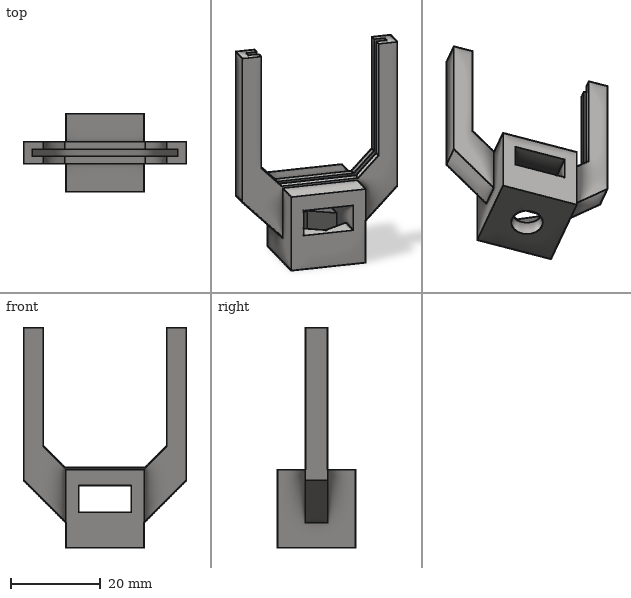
import cadquery as cq

block_side = 17.4

overall_width = 36.25
overall_height = 49.0
yoke_thickness = 5.0
arm_width = 4.4
saddle_height = 17.9
saddle_half_width = 8.9
inner_bend_height = saddle_height + overall_width / 2 - arm_width - saddle_half_width
outer_bend_height = 15.05
foot_half_width = block_side / 2
foot_height = outer_bend_height - (overall_width / 2 - foot_half_width)

groove_width = 1.55
arm_groove_depth = 2.5
saddle_groove_depth = 0.5

window_width = 11.6
window_height = 5.9
window_floor = 8.0
pocket_floor = 3.75
hex_circumscribed_diameter = window_width / 0.75 ** 0.5
bolt_hole_diameter = 6.95


def centred_prism(half_outline, thickness):
    """Mirror an XZ half outline about X = 0 and extrude it evenly along Y."""
    mirrored = [(-x, z) for x, z in reversed(half_outline)]
    profile = cq.Workplane("XZ").polyline(half_outline + mirrored).close()
    return profile.extrude(thickness / 2, both=True)


def make_yoke():
    outer = overall_width / 2
    inner = outer - arm_width
    return centred_prism(
        [
            (foot_half_width, foot_height),
            (outer, outer_bend_height),
            (outer, overall_height),
            (inner, overall_height),
            (inner, inner_bend_height),
            (saddle_half_width, saddle_height),
        ],
        yoke_thickness,
    )


def make_groove():
    length = overall_width - 2 * (arm_width - arm_groove_depth)
    bottom = saddle_height - saddle_groove_depth
    return (
        cq.Workplane("XY")
        .workplane(offset=bottom)
        .rect(length, groove_width)
        .extrude(overall_height - bottom)
    )


def make_window():
    return (
        cq.Workplane("XY")
        .workplane(offset=window_floor)
        .rect(window_width, block_side)
        .extrude(window_height)
    )


def make_nut_pocket():
    return (
        cq.Workplane("XY")
        .workplane(offset=pocket_floor)
        .transformed(rotate=(0, 0, 90))
        .polygon(6, hex_circumscribed_diameter)
        .extrude(window_floor - pocket_floor)
    )


def make_bolt_hole():
    return cq.Workplane("XY").circle(bolt_hole_diameter / 2).extrude(pocket_floor)


block = cq.Workplane("XY").box(block_side, block_side, block_side, centered=(True, True, False))
result = block.union(make_yoke()).cut(make_groove())
result = result.cut(make_window()).cut(make_nut_pocket()).cut(make_bolt_hole())